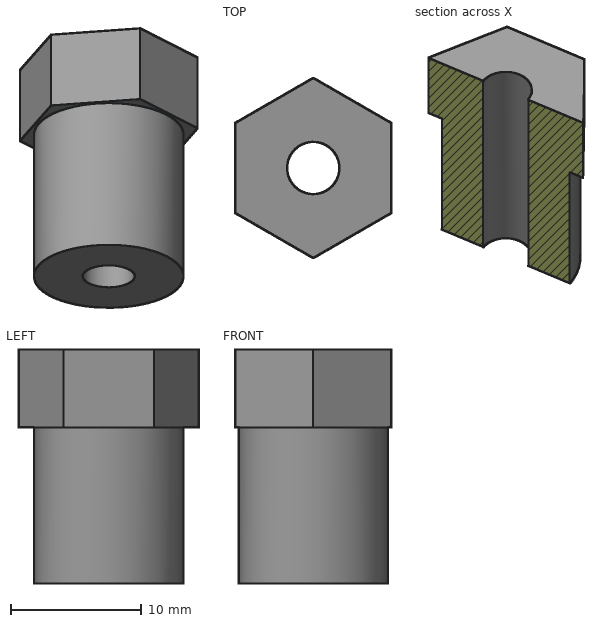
import cadquery as cq
import math

HEX_ACROSS_FLATS = 12.0
HEAD_HEIGHT = 6.0
SHANK_DIAMETER = 11.5
SHANK_LENGTH = 12.0
BORE_DIAMETER = 4.0

HEX_ACROSS_CORNERS = HEX_ACROSS_FLATS / math.cos(math.pi / 6)
TOTAL_HEIGHT = SHANK_LENGTH + HEAD_HEIGHT


def make_shank():
    """Round shank standing on the XY plane."""
    return cq.Workplane("XY").circle(SHANK_DIAMETER / 2).extrude(SHANK_LENGTH)


def make_head():
    """Hexagonal head on top of the shank, with flats facing -X and +X."""
    return (
        cq.Workplane("XY", origin=(0, 0, SHANK_LENGTH))
        .transformed(rotate=(0, 0, 90))
        .polygon(6, HEX_ACROSS_CORNERS)
        .extrude(HEAD_HEIGHT)
    )


def make_bore():
    """Cylinder that cuts the central through bore."""
    return cq.Workplane("XY").circle(BORE_DIAMETER / 2).extrude(TOTAL_HEIGHT)


result = make_shank().union(make_head()).cut(make_bore())